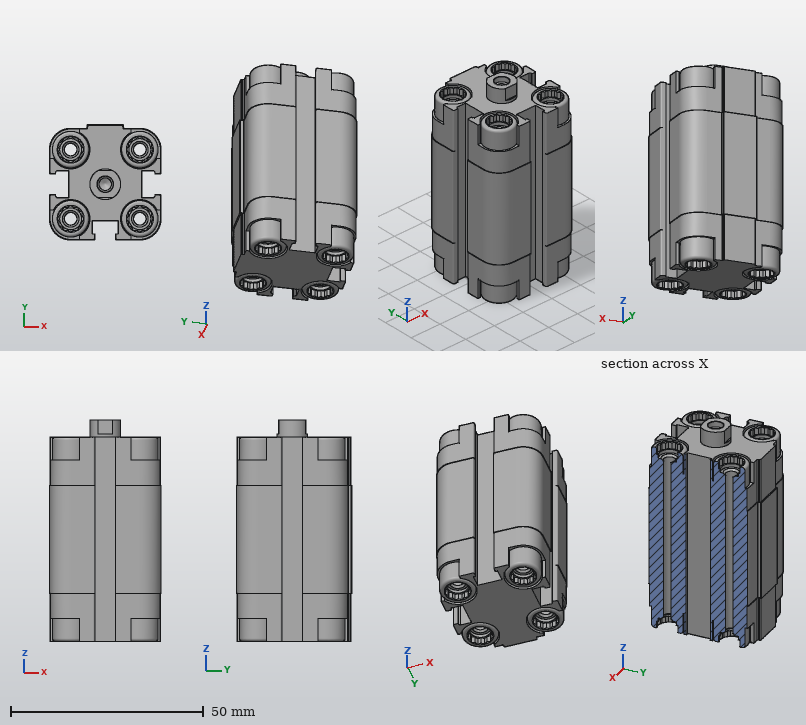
import cadquery as cq
import math


overall_height = 57.5
cap_height = 12.5
barrel_height = 28.05
housing_height = barrel_height + 2 * cap_height

barrel_half_width = 14.5
cap_half_width = 14.3
corner_center = 8.95
barrel_lip_round = 0.2
cap_lip_round = 0.4

slot_mouth_half = 2.7
front_slot_inner_half = 3.35
side_slot_inner_half = 3.45
slot_lip_depth = 12.9
slot_floor = 9.5
side_slot_chamfer = 0.35

barrel_rib_top = 15.5
barrel_rib_half = 4.6
cap_rib_top = 15.2
cap_rib_half = 4.35
rib_bevel_width = 0.2
rib_bevel_height = 0.25
rib_flare_start = 14.6
rib_flare = 0.2

boss_radius = 9.5 / 2
boss_height = 6.0
boss_round = 0.75
recess_radius = 5.0
recess_wall = 6.7

socket_mouth_radius = 3.5
socket_mouth_slope = 0.5
socket_point_radius = 3.45
socket_hexagon_turns = (0, 30)
socket_depth = 2.0
counterbore_radius = 5.7 / 2
counterbore_depth = 3.0
through_radius = 3.2 / 2
through_mouth_radius = 4.3 / 2

rod_radius = 8.0 / 2
rod_seat_depth = 6.0
rod_flat_half = 3.5
rod_flat_length = 3.6
bore_mouth_radius = 4.3 / 2
bore_entry_radius = 4.15 / 2
bore_entry_depth = 1.6
bore_radius = 3.2 / 2
bore_depth = 6.9
drill_half_angle = math.radians(60)

corners = [(x, y) for x in (-corner_center, corner_center) for y in (-corner_center, corner_center)]


def turned(profile):
    """Solid of revolution about Z from (radius, z) points."""
    return cq.Workplane("XZ").polyline(profile).close().revolve(360, (0, 0, 0), (0, 1, 0))


def slot(half_width, inner_half, height, corner_chamfer=0):
    """T-slot opening toward -Y, its space behind the lips bevelled by the corner chamfer if there is one."""
    mouth_depth = half_width - slot_lip_depth
    inner_depth = slot_lip_depth - slot_floor
    mouth = cq.Workplane("XY").box(2 * slot_mouth_half, mouth_depth, height, (True, False, False))
    inner = cq.Workplane("XY").box(2 * inner_half, inner_depth, height, (True, False, False))
    if corner_chamfer:
        inner = inner.edges("|Z and <Y").chamfer(corner_chamfer)
    return mouth.translate((0, -half_width, 0)).union(inner.translate((0, -slot_lip_depth, 0)))


def body_section(half_width, lip_round, rib_top, rib_half, height):
    """Rounded square prism with a rib on +Y and T-slots with rounded lips on the other sides."""
    section = (
        cq.Workplane("XY")
        .rect(2 * half_width, 2 * half_width)
        .extrude(height)
        .edges("|Z")
        .fillet(half_width - corner_center)
    )
    section = section.cut(slot(half_width, front_slot_inner_half, height))
    for angle in (-90, 90):
        side_slot = slot(half_width, side_slot_inner_half, height, side_slot_chamfer)
        section = section.cut(side_slot.rotate((0, 0, 0), (0, 0, 1), angle))
    lips = [(side * slot_mouth_half, -half_width) for side in (-1, 1)]
    lips += [(end * half_width, side * slot_mouth_half) for end in (-1, 1) for side in (-1, 1)]
    for x, y in lips:
        section = section.edges(cq.NearestToPointSelector((x, y, height / 2))).fillet(lip_round)
    rib_base = rib_half + rib_bevel_width
    rib_foot = rib_base + rib_flare
    rib = (
        cq.Workplane("XY")
        .polyline(
            [
                (-rib_foot, slot_floor),
                (-rib_foot, half_width),
                (-rib_base, rib_flare_start),
                (-rib_base, rib_top - rib_bevel_height),
                (-rib_half, rib_top),
                (rib_half, rib_top),
                (rib_base, rib_top - rib_bevel_height),
                (rib_base, rib_flare_start),
                (rib_foot, half_width),
                (rib_foot, slot_floor),
            ]
        )
        .close()
        .extrude(height)
    )
    return section.union(rib)


def corner_recess(x, y):
    """Space cleared around one boss, open to the outer corner."""
    bottom = housing_height - boss_height
    reach = barrel_half_width - recess_wall
    round_space = cq.Workplane("XY", (x, y, bottom)).circle(recess_radius).extrude(boss_height)
    center = recess_wall + reach / 2
    corner_origin = (math.copysign(center, x), math.copysign(center, y), bottom)
    corner_space = cq.Workplane("XY", corner_origin).rect(reach, reach).extrude(boss_height)
    return round_space.union(corner_space)


def corner_boss(x, y):
    """Round boss with a rounded rim, level with the end face."""
    bottom = housing_height - boss_height
    boss = cq.Workplane("XY", (x, y, bottom)).circle(boss_radius).extrude(boss_height)
    return boss.faces(">Z").edges().fillet(boss_round)


def corner_socket(x, y):
    """Twelve-point socket, counterbore and countersunk start of the through hole."""
    mouth_depth = socket_mouth_slope * (socket_mouth_radius - counterbore_radius)
    countersink_depth = counterbore_depth + through_mouth_radius - through_radius
    space = turned(
        [
            (0, 0),
            (socket_mouth_radius, 0),
            (counterbore_radius, -mouth_depth),
            (counterbore_radius, -counterbore_depth),
            (through_mouth_radius, -counterbore_depth),
            (through_radius, -countersink_depth),
            (0, -countersink_depth),
        ]
    )
    for turn in socket_hexagon_turns:
        hexagon = cq.Workplane("XY").polygon(6, 2 * socket_point_radius).extrude(-socket_depth)
        space = space.union(hexagon.rotate((0, 0, 0), (0, 0, 1), turn))
    return space.translate((x, y, housing_height))


def flipped(tool):
    """The same shape at the opposite end of the housing."""
    return tool.mirror("XY", (0, 0, housing_height / 2))


def make_housing():
    """Barrel and two caps in one piece, with corner bosses at both ends and a seat for the rod."""
    cap = body_section(cap_half_width, cap_lip_round, cap_rib_top, cap_rib_half, cap_height)
    barrel = body_section(barrel_half_width, barrel_lip_round, barrel_rib_top, barrel_rib_half, barrel_height)
    housing = (
        barrel.translate((0, 0, cap_height))
        .union(cap)
        .union(cap.translate((0, 0, cap_height + barrel_height)))
    )
    for x, y in corners:
        recess = corner_recess(x, y)
        boss = corner_boss(x, y)
        socket = corner_socket(x, y)
        housing = housing.cut(recess).cut(flipped(recess))
        housing = housing.union(boss).union(flipped(boss))
        housing = housing.cut(socket).cut(flipped(socket))
    through_holes = cq.Workplane("XY").pushPoints(corners).circle(through_radius).extrude(housing_height)
    rod_seat = cq.Workplane("XY", (0, 0, housing_height)).circle(rod_radius).extrude(-rod_seat_depth)
    return housing.cut(through_holes).cut(rod_seat)


def make_rod():
    """Piston rod with two wrench flats and a stepped, cone-bottomed bore in its end."""
    rod_bottom = housing_height - rod_seat_depth
    rod = cq.Workplane("XY", (0, 0, rod_bottom)).circle(rod_radius).extrude(overall_height - rod_bottom)
    flat_cut = rod_radius - rod_flat_half
    for side in (-1, 1):
        center_y = side * (rod_flat_half + flat_cut / 2)
        flat = cq.Workplane("XY", (0, center_y, overall_height)).rect(2 * rod_radius, flat_cut)
        rod = rod.cut(flat.extrude(-rod_flat_length))
    bore_cone_end = bore_entry_depth + (bore_entry_radius - bore_radius) / math.tan(drill_half_angle)
    bore = turned(
        [
            (0, 0),
            (bore_mouth_radius, 0),
            (bore_entry_radius, bore_entry_radius - bore_mouth_radius),
            (bore_entry_radius, -bore_entry_depth),
            (bore_radius, -bore_cone_end),
            (bore_radius, -bore_depth),
            (0, -bore_depth - bore_radius / math.tan(drill_half_angle)),
        ]
    )
    return rod.cut(bore.translate((0, 0, overall_height)))


housing = make_housing()
rod = make_rod()
result = cq.Compound.makeCompound([housing.val(), rod.val()])